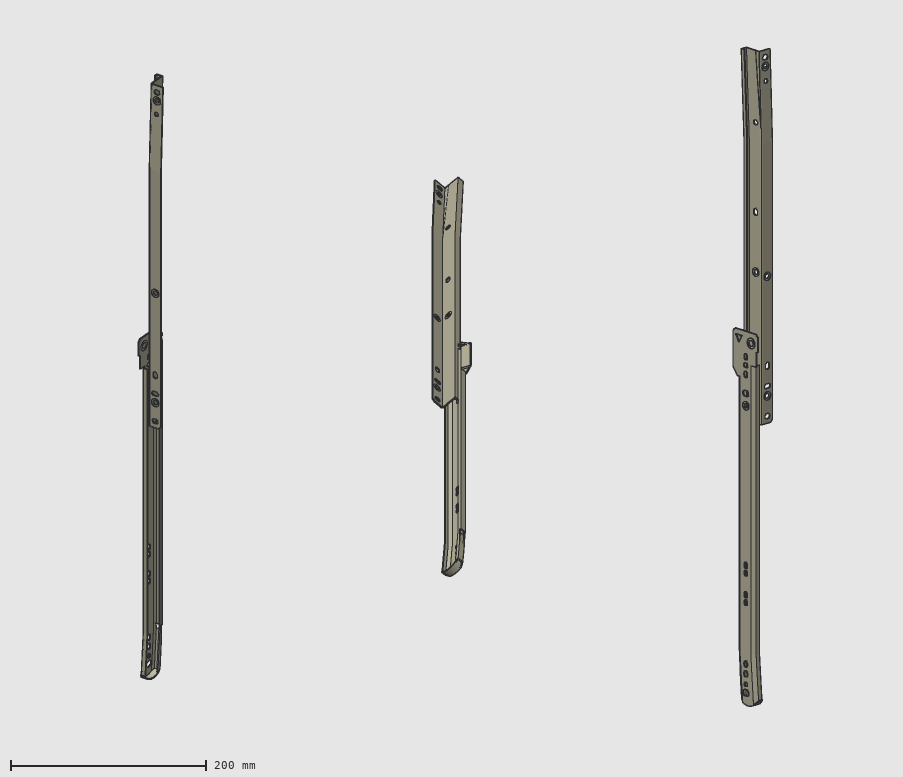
import cadquery as cq
import math

SHEET = 1.5
BEND_RADIUS = 2.0
LENGTH = 701.0

OUTER_TOP_Z = 401.0
HEAD_BASE_Z = 350.5
BACK_LOW_Y, BACK_HIGH_Y = -8.5, 8.0
FLOOR_Y, ROOF_Y = -13.0, 11.55
FLOOR_SLANT_X, ROOF_SLANT_X = 3.0, 2.0
FLOOR_END_X = 8.0
ROOF_END_X = 9.0
ROOF_LIP_Y = 8.0
HEAD_LOW_Y, HEAD_HIGH_Y = -18.0, 18.0
HEAD_STEP_Y = -16.0
HEAD_STEP_Z = 382.0
HEAD_LOW_Z = 366.0
HEAD_HIGH_Z = 359.0
HEAD_CORNER = 3.0
DRIFT_Z = 56.0
DRIFT_Y = -4.0
END_LOW_Y, END_HIGH_Y = HEAD_LOW_Y, 10.0
END_CORNER_Z = 8.5

INNER_BASE_Z = 301.0
FLANGE_END_X = 25.0
WEB_X = 11.0
FLANGE_Y = -14.0
LIP_Y = 5.5
LIP_X = 3.5
LIP_DROP = 4.0
FLARE_Z = 603.0
LIP_RISE, FLANGE_RISE = 4.0, 3.5
FLANGE_CORNER = 3.0
CREASE_DEPTH = 0.35
CREASE_TOP_Y = -5.0

FLANGE_HOLE_X = 18.0
FLANGE_HOLES = [(693.0, 7.0, 5.5), (668.0, 5.0, 5.0), (363.0, 5.5, 8.0), (341.0, 8.5, 5.0), (309.0, 7.0, 5.5)]
FLANGE_COUNTERSINKS = [683.0, 459.0, 331.0]
WEB_HOLE_Y = -5.0
WEB_HOLES = [(624.0, 6.0, 5.0), (528.0, 5.5, 8.0)]
WEB_COUNTERSINKS = [463.0]
BACK_HOLE_Y = -1.0
BACK_HOLES = [
    (373.5, 5.0, 7.0), (364.5, 6.0, 5.0), (354.5, 5.5, 7.0), (334.0, 9.0, 6.0),
    (150.0, 5.0, 7.0), (141.5, 5.0, 6.0), (118.5, 5.0, 7.0), (110.0, 5.0, 6.0),
    (44.0, 5.5, 7.0), (33.5, 5.5, 7.0), (22.5, 5.0, 5.0), (13.0, 9.0, 7.0),
]
BACK_COUNTERSINKS = [321.0]
SINK_BORE, SINK_WIDTH, SINK_DEPTH = 5.0, 9.0, 1.0
HEAD_HOLE_Y, HEAD_HOLE_Z = 10.0, 391.0
HEAD_HOLE_WIDTH, HEAD_HOLE_HEIGHT = 10.0, 8.0
RIVET_Y, RIVET_Z = -8.5, 389.5
RIVET_WIDTH, RIVET_CORE, RIVET_DEPTH = 11.0, 6.0, 1.0


def sheet_outline(path):
    """Closed outline of a bent sheet: `path` and its mitred copy one thickness to the left."""
    headings = [math.atan2(b[1] - a[1], b[0] - a[0]) for a, b in zip(path, path[1:])]
    before = headings[:1] + headings
    after = headings + headings[-1:]
    inner = []
    for (x, y), start, end in zip(path, before, after):
        middle = (start + end) / 2
        reach = SHEET / math.cos((end - start) / 2)
        inner.append((x - reach * math.sin(middle), y + reach * math.cos(middle)))
    return path + inner[::-1]


def sheet_run(low_path, high_path, low_z, high_z):
    """Bent sheet whose section changes evenly from one path to another along Z."""
    low = cq.Workplane("XY").workplane(offset=low_z).polyline(sheet_outline(low_path)).close()
    high = low.workplane(offset=high_z - low_z).polyline(sheet_outline(high_path)).close()
    return high.loft(ruled=True)


def slot(plane, across, up, width, height, start, depth):
    """Round-ended cutter, upright or level, that runs from `start` along the plane's normal."""
    base = cq.Workplane(plane).workplane(offset=start).center(across, up)
    if width == height:
        return base.circle(width / 2).extrude(depth)
    turn = 90 if height > width else 0
    return base.slot2D(max(width, height), min(width, height), turn).extrude(depth)


def countersink(plane, across, up, start, inward=1):
    """Stepped cutter: a shallow wide mouth at `start` and a narrow bore through the sheet.

    `inward` is -1 where the sheet lies against the plane's normal.
    """
    bore = slot(plane, across, up, SINK_BORE, SINK_BORE, start, inward * 2 * SHEET)
    mouth = slot(plane, across, up, SINK_WIDTH, SINK_WIDTH, start, inward * SINK_DEPTH)
    return bore.union(mouth)


def channel_path(shift):
    return [
        (ROOF_END_X, ROOF_LIP_Y + shift),
        (ROOF_END_X, ROOF_Y + shift),
        (ROOF_SLANT_X, ROOF_Y + shift),
        (0, BACK_HIGH_Y + shift),
        (0, BACK_LOW_Y + shift),
        (FLOOR_SLANT_X, FLOOR_Y + shift),
        (FLOOR_END_X, FLOOR_Y + shift),
    ]


def rounded_end(inset):
    """Area above the rounded lower end, moved inward by `inset`."""
    middle_y = (END_LOW_Y + END_HIGH_Y) / 2
    return (
        cq.Workplane("YZ").moveTo(END_HIGH_Y, END_CORNER_Z + inset)
        .threePointArc((middle_y, inset), (END_LOW_Y, END_CORNER_Z + inset))
        .lineTo(END_LOW_Y, DRIFT_Z).lineTo(END_HIGH_Y, DRIFT_Z).close().extrude(ROOF_END_X)
    )


def make_channel():
    path = channel_path(0)
    floor_path = path[3:]
    straight = sheet_run(path, path, DRIFT_Z, HEAD_BASE_Z)
    floor = sheet_run(floor_path, floor_path, HEAD_BASE_Z, HEAD_LOW_Z)
    bent = sheet_run(channel_path(DRIFT_Y), path, 0, DRIFT_Z).intersect(rounded_end(0))
    end_room = cq.Workplane("XY").polyline(channel_path(DRIFT_Y)).close().extrude(DRIFT_Z)
    end_wall = rounded_end(0).cut(rounded_end(SHEET)).intersect(end_room)
    return straight.union(floor).union(bent).union(end_wall)


def make_head():
    outline = [
        (BACK_HIGH_Y, HEAD_BASE_Z), (ROOF_Y, HEAD_BASE_Z), (HEAD_HIGH_Y, HEAD_HIGH_Z),
        (HEAD_HIGH_Y, OUTER_TOP_Z - HEAD_CORNER), (HEAD_HIGH_Y - HEAD_CORNER, OUTER_TOP_Z),
        (HEAD_LOW_Y + HEAD_CORNER, OUTER_TOP_Z), (HEAD_LOW_Y, OUTER_TOP_Z - HEAD_CORNER),
        (HEAD_LOW_Y, HEAD_STEP_Z), (HEAD_STEP_Y, HEAD_STEP_Z),
        (HEAD_STEP_Y, HEAD_LOW_Z), (BACK_LOW_Y, HEAD_LOW_Z), (BACK_LOW_Y, HEAD_BASE_Z),
    ]
    plate = cq.Workplane("YZ").polyline(outline).close().extrude(SHEET)
    roof_path = [
        (ROOF_END_X, ROOF_LIP_Y),
        (ROOF_END_X, ROOF_Y),
        (0, HEAD_HIGH_Y),
    ]
    roof = sheet_run(roof_path, roof_path, HEAD_BASE_Z, OUTER_TOP_Z - HEAD_CORNER)
    head_area = cq.Workplane("YZ").polyline(outline).close().extrude(ROOF_END_X)
    return plate.union(roof.intersect(head_area))


def make_outer_rail():
    rail = make_channel().union(make_head())
    for z, width, height in BACK_HOLES:
        rail = rail.cut(slot("YZ", BACK_HOLE_Y, z, width, height, 0, SHEET))
    for z in BACK_COUNTERSINKS:
        rail = rail.cut(countersink("YZ", BACK_HOLE_Y, z, 0))
    half_width, half_height = HEAD_HOLE_WIDTH / 2, HEAD_HOLE_HEIGHT / 2
    head_hole = (
        cq.Workplane("YZ").center(HEAD_HOLE_Y, HEAD_HOLE_Z)
        .polyline([(-half_width, half_height), (half_width, half_height), (0, -half_height)])
        .close().extrude(ROOF_END_X)
    )
    rivet_groove = (
        cq.Workplane("YZ").center(RIVET_Y, RIVET_Z)
        .circle(RIVET_WIDTH / 2).circle(RIVET_CORE / 2).extrude(RIVET_DEPTH)
    )
    return rail.cut(head_hole).cut(rivet_groove).solids()


def inner_path(lip_rise, flange_rise):
    lip_y = LIP_Y + lip_rise
    flange_y = FLANGE_Y + flange_rise
    return [
        (FLANGE_END_X, flange_y + SHEET),
        (WEB_X, flange_y + SHEET),
        (WEB_X, lip_y),
        (LIP_X, lip_y),
        (LIP_X, lip_y - LIP_DROP),
    ]


def flange_face(z):
    """Y of the flange's -Y face at height z."""
    return FLANGE_Y + FLANGE_RISE * max(0, z - FLARE_Z) / (LENGTH - FLARE_Z)


def rounding_of_bend():
    """Sliver outside the rounded bend between web and flange, over the full rail length."""
    inner_x = WEB_X - SHEET

    def sliver(sketch, face_y):
        middle = BEND_RADIUS * (1 - math.sqrt(0.5))
        return (
            sketch.moveTo(inner_x, face_y).lineTo(inner_x + BEND_RADIUS, face_y)
            .threePointArc((inner_x + middle, face_y + middle), (inner_x, face_y + BEND_RADIUS))
            .close()
        )

    straight = sliver(cq.Workplane("XY").workplane(offset=INNER_BASE_Z), FLANGE_Y)
    straight = straight.extrude(FLARE_Z - INNER_BASE_Z)
    flared = sliver(cq.Workplane("XY").workplane(offset=FLARE_Z), FLANGE_Y)
    flared = sliver(flared.workplane(offset=LENGTH - FLARE_Z), FLANGE_Y + FLANGE_RISE)
    return straight.union(flared.loft(ruled=True))


def make_inner_rail():
    plain, raised = inner_path(0, 0), inner_path(LIP_RISE, FLANGE_RISE)
    rail = sheet_run(plain, plain, INNER_BASE_Z, FLARE_Z).union(sheet_run(plain, raised, FLARE_Z, LENGTH))

    rail = rail.cut(rounding_of_bend())

    corner = (
        cq.Workplane("XZ").workplane(offset=-FLANGE_Y - SHEET)
        .polyline([
            (FLANGE_END_X, INNER_BASE_Z), (FLANGE_END_X - FLANGE_CORNER, INNER_BASE_Z),
            (FLANGE_END_X, INNER_BASE_Z + FLANGE_CORNER),
        ]).close().extrude(SHEET)
    )
    rail = rail.cut(corner)

    crease = (
        cq.Workplane("YZ").workplane(offset=WEB_X - SHEET)
        .polyline([(CREASE_TOP_Y, LENGTH), (FLANGE_Y, FLARE_Z), (FLANGE_Y, LENGTH)])
        .close().extrude(CREASE_DEPTH)
    )
    rail = rail.cut(crease)

    for z, width, height in FLANGE_HOLES:
        start = -FLANGE_Y
        rail = rail.cut(slot("XZ", FLANGE_HOLE_X, z, width, height, start, -FLANGE_RISE - SHEET))
    for z in FLANGE_COUNTERSINKS:
        rail = rail.cut(countersink("XZ", FLANGE_HOLE_X, z, -flange_face(z), -1))

    web_start = WEB_X - SHEET
    for z, width, height in WEB_HOLES:
        rail = rail.cut(slot("YZ", WEB_HOLE_Y, z, width, height, web_start, SHEET))
    for z in WEB_COUNTERSINKS:
        rail = rail.cut(countersink("YZ", WEB_HOLE_Y, z, web_start))
    return rail.solids()


outer_rail = make_outer_rail()
inner_rail = make_inner_rail()
result = cq.Compound.makeCompound([outer_rail.val(), inner_rail.val()])